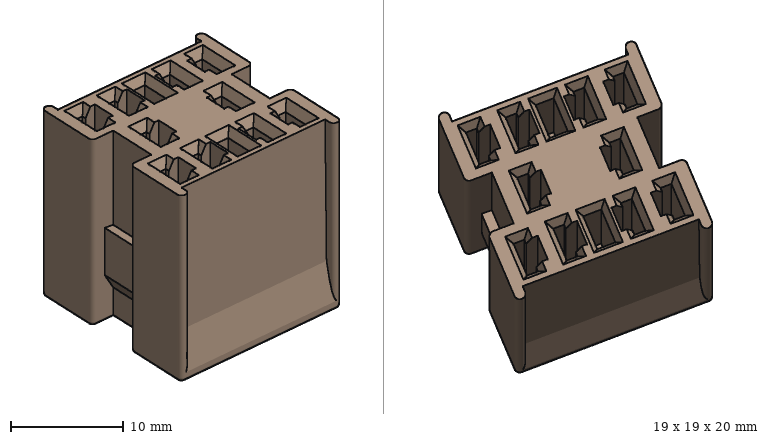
import cadquery as cq

import math

width = 19.0
height = 20.0
edge_radius = 0.5
half = width / 2

channel_width = 5.2
channel_floor = 7.0

fin_thickness = 1.02
recess_half_width = half - fin_thickness
recess_floor_at_top = 8.42
recess_floor_at_ramp = 8.62
ramp_top = 5.0
ramp_bottom = 1.0

tab_face = 8.0
tab_top = 10.05
tab_top_drop = 0.1
tab_bottom_at_face = 5.0
tab_bottom_at_floor = 3.25

column_offset = 5.68
mouth_wall_angle = 30.0
mouth_depth = 1.0
mouth_length = 4.4
mouth_width = 2.2
key_length = 2.4
key_ledge_height = 10.0

outer_cavity = {"center": 7.08, "ledge": 6.08, "key": 5.45}
inner_cavity = {"center": 3.25, "ledge": 2.22, "key": 1.65}
middle_cavity = {"center": 4.45, "ledge": 3.65, "key": 2.85}

blind_mouth_width = 2.78
blind_mouth_depth = 0.9
blind_floor_height = 10.0


def box(x_range, y_range, z_range):
    """Axis-aligned block spanning three (low, high) ranges."""
    x_low, x_high = x_range
    y_low, y_high = y_range
    z_low, z_high = z_range
    corner = (x_low, y_low, z_low)
    size = (x_high - x_low, y_high - y_low, z_high - z_low)
    return cq.Workplane("XY", origin=corner).box(*size, centered=False)


def tapered_well(x, y, mouth_y_size, taper_depth, floor_height):
    """Mouth tapering in from the top face to a straight-walled well."""
    narrowing = 2 * taper_depth * math.tan(math.radians(mouth_wall_angle))
    well_length = mouth_length - narrowing
    well_width = mouth_y_size - narrowing
    taper_base = height - taper_depth
    taper = (
        cq.Workplane("XY", origin=(x, y, taper_base))
        .rect(well_length, well_width)
        .workplane(offset=taper_depth)
        .rect(mouth_length, mouth_y_size)
        .loft(ruled=True)
    )
    shaft = (
        cq.Workplane("XY", origin=(x, y, floor_height))
        .rect(well_length, well_width)
        .extrude(taper_base - floor_height)
    )
    return taper.union(shaft)


def mirrored_pair(solid, plane):
    """The solid together with its mirror image."""
    return solid.union(solid.mirror(plane))


def grooved_block():
    """Block with both channels and both recesses, its upright outer edges rounded."""
    channel = box((-channel_width / 2, channel_width / 2), (channel_floor, half), (0, height))
    recess = box((recess_floor_at_top, half), (-recess_half_width, recess_half_width), (0, height))
    block = box((-half, half), (-half, half), (0, height))
    block = block.cut(mirrored_pair(channel, "XZ")).cut(mirrored_pair(recess, "YZ"))
    return block.edges("|Z and (<X or >X or <Y or >Y)").fillet(edge_radius)


def recess_ramp():
    """Sloping floor of the right-hand recess; its ends run into the rounded fins."""
    half_length = recess_half_width + edge_radius
    return (
        cq.Workplane("XZ", origin=(0, half_length, 0))
        .moveTo(recess_floor_at_top, height)
        .lineTo(recess_floor_at_ramp, ramp_top)
        .lineTo(half, ramp_bottom)
        .lineTo(half, 0)
        .lineTo(recess_floor_at_top, 0)
        .close()
        .extrude(2 * half_length)
    )


def latch_tab():
    """Hooked tab in the back channel."""
    return (
        cq.Workplane("YZ", origin=(-channel_width / 2, 0, 0))
        .moveTo(channel_floor, tab_top - tab_top_drop)
        .lineTo(tab_face, tab_top)
        .lineTo(tab_face, tab_bottom_at_face)
        .lineTo(channel_floor, tab_bottom_at_floor)
        .close()
        .extrude(channel_width)
    )


def through_cavity(x, kind):
    """Through cavity on the +Y half, with its key slot facing the mid-plane."""
    center = kind["center"]
    x_range = (x - key_length / 2, x + key_length / 2)
    cavity = tapered_well(x, center, mouth_width, mouth_depth, 0)
    key_slot = box(x_range, (kind["key"], center), (key_ledge_height, height))
    lower_slot = box(x_range, (kind["ledge"], center), (0, key_ledge_height))
    return cavity.union(key_slot).union(lower_slot)


housing = grooved_block().union(mirrored_pair(recess_ramp(), "YZ"))
housing = housing.faces("<Z").edges().fillet(edge_radius)
housing = housing.union(mirrored_pair(latch_tab(), "XZ"))

housing = housing.cut(mirrored_pair(through_cavity(0, middle_cavity), "XZ"))
for column in (-column_offset, column_offset):
    for cavity_kind in (outer_cavity, inner_cavity):
        housing = housing.cut(mirrored_pair(through_cavity(column, cavity_kind), "XZ"))
    blind_pocket = tapered_well(column, 0, blind_mouth_width, blind_mouth_depth, blind_floor_height)
    housing = housing.cut(blind_pocket)

result = housing